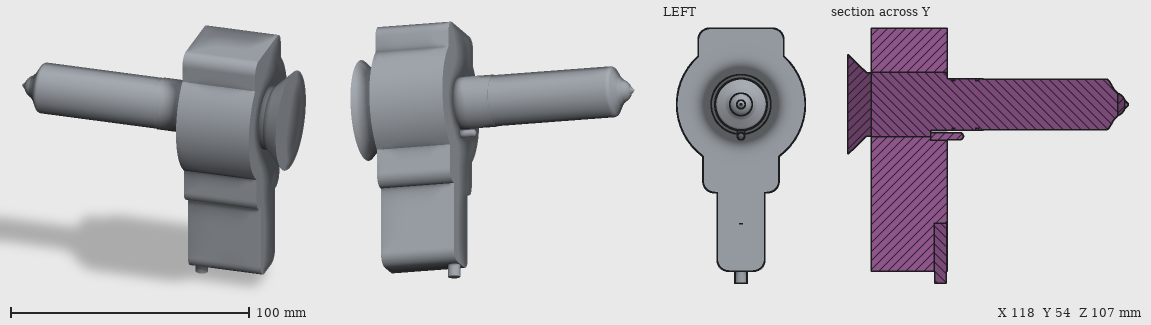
import cadquery as cq
import math


housing_depth = 32.0
drum_radius = 27.0
head_width = 36.0
head_top = 32.0
shoulder_width = 32.0
shoulder_bottom = 37.0
stem_width = 20.1
stem_bottom = 70.0
corner_radius = 5.0

barrel_radius = 10.7
land_radius = 11.0
land_length = 15.0
shank_radius = 13.5
shank_chamfer = 1.0
nose_radius = 6.3
nose_start = 70.0
nose_cone_angle = 60.0
barrel_round = 2.0

seal_width = 1.0
seal_depth = 1.0
seal_inset = 2.0

nozzle_radius = 4.7
nozzle_seat = nose_start + nose_radius - nozzle_radius
needle_start = 74.5
needle_radius = 1.8
needle_tip = 76.0
needle_tip_radius = 0.2

dowel_radius = 1.5
dowel_drop = 13.3
dowel_reach = 6.8
dowel_point_length = 0.7
dowel_point_radius = 1.4
dowel_taper_length = 0.7

connector_radius = 2.6
connector_setback = 3.0
connector_length = 25.0
connector_end = 75.0

collar_length = 2.0
cone_end = 42.0
cone_end_radius = 21.2


def revolve_about_x(profile):
    """Turn a closed (X, radius) profile drawn on XZ about the X axis."""
    return profile.close().revolve(360, (0, 0, 0), (1, 0, 0))


def cylinder_along_x(radius, start, end, drop=0.0):
    """Cylinder parallel to X, lowered by drop below the injector axis."""
    return cq.Workplane("YZ", origin=(start, 0, -drop)).circle(radius).extrude(end - start)


def slab(width, bottom, top):
    """Slab through the housing depth, centred on Y."""
    return cq.Workplane("XY").box(
        housing_depth, width, top - bottom, centered=(False, True, False)
    ).translate((0, 0, bottom))


def make_housing_block():
    head = slab(head_width, 0, head_top).edges("|X and >Z").fillet(corner_radius)
    shoulder = slab(shoulder_width, -shoulder_bottom, 0).edges("|X and <Z").fillet(corner_radius)
    stem = slab(stem_width, -stem_bottom, 0).edges("|X and <Z").fillet(corner_radius)
    drum = cylinder_along_x(drum_radius, 0, housing_depth)
    return drum.union(head).union(shoulder).union(stem)


def make_shank():
    return (
        cylinder_along_x(shank_radius, 0, housing_depth)
        .faces("<X").edges().chamfer(shank_chamfer)
    )


def make_barrel():
    """Stepped barrel: 45 degree nose bevel, steeper cone, then a round into the outer wall."""
    cone_angle = math.radians(nose_cone_angle)
    round_start_radius = barrel_radius - barrel_round * (1 - math.cos(cone_angle))
    round_start = nose_start - (round_start_radius - nose_radius) / math.tan(cone_angle)
    round_end = round_start - barrel_round * math.sin(cone_angle)
    half_angle = cone_angle / 2
    round_middle = (
        -round_end - barrel_round * math.sin(half_angle),
        barrel_radius - barrel_round * (1 - math.cos(half_angle)),
    )
    return revolve_about_x(
        cq.Workplane("XZ")
        .moveTo(0, 0)
        .lineTo(-nozzle_seat, 0)
        .lineTo(-nozzle_seat, nozzle_radius)
        .lineTo(-nose_start, nose_radius)
        .lineTo(-round_start, round_start_radius)
        .threePointArc(round_middle, (-round_end, barrel_radius))
        .lineTo(-land_length, barrel_radius)
        .lineTo(-land_length, land_radius)
        .lineTo(0, land_radius)
    )


def make_seal(start):
    outer = cylinder_along_x(land_radius, start, start + seal_width)
    inner = cylinder_along_x(land_radius - seal_depth, start, start + seal_width)
    return outer.cut(inner)


def make_nozzle():
    """Spherical dome centred on the axis, cut flat where the needle leaves it."""
    length = needle_start - nozzle_seat
    centre = nozzle_seat - (nozzle_radius**2 - needle_radius**2 - length**2) / (2 * length)
    sphere_radius = math.hypot(nozzle_seat - centre, nozzle_radius)
    middle = nozzle_seat + length / 2
    middle_radius = math.sqrt(sphere_radius**2 - (middle - centre) ** 2)
    return revolve_about_x(
        cq.Workplane("XZ")
        .moveTo(-nozzle_seat, 0)
        .lineTo(-nozzle_seat, nozzle_radius)
        .threePointArc((-middle, middle_radius), (-needle_start, needle_radius))
        .lineTo(-needle_start, 0)
    )


def make_needle():
    return revolve_about_x(
        cq.Workplane("XZ")
        .moveTo(-needle_start, 0)
        .lineTo(-needle_start, needle_radius)
        .lineTo(-needle_tip, needle_tip_radius)
        .lineTo(-needle_tip, 0)
    )


def make_dowel():
    """Round dowel with a tapered lead and a conical point, shared between shank and housing."""
    point_base = dowel_reach - dowel_point_length
    body_end = point_base - dowel_taper_length
    return revolve_about_x(
        cq.Workplane("XZ")
        .moveTo(dowel_reach, 0)
        .lineTo(dowel_reach, dowel_radius)
        .lineTo(-body_end, dowel_radius)
        .lineTo(-point_base, dowel_point_radius)
        .lineTo(-dowel_reach, 0)
    ).translate((0, 0, -dowel_drop))


def make_keyway():
    """Slot in the shank from the land out to the dowel, as wide as the dowel."""
    slot = cq.Workplane("XY").box(
        dowel_reach, 2 * dowel_radius, dowel_drop - land_radius, centered=(False, True, False)
    ).translate((0, 0, -dowel_drop))
    return slot.union(cylinder_along_x(dowel_radius, 0, dowel_reach, dowel_drop))


def make_connector():
    return (
        cq.Workplane("XY", origin=(connector_setback, 0, -connector_end))
        .circle(connector_radius)
        .extrude(connector_length)
    )


def make_rear_cone():
    collar_end = housing_depth + collar_length
    return revolve_about_x(
        cq.Workplane("XZ")
        .moveTo(housing_depth, 0)
        .lineTo(housing_depth, shank_radius)
        .lineTo(collar_end, shank_radius)
        .lineTo(cone_end, cone_end_radius)
        .lineTo(cone_end, 0)
    )


dowel = make_dowel()
connector = make_connector()
nozzle = make_nozzle()
needle = make_needle()
rear_cone = make_rear_cone()

seal_starts = [seal_inset - land_length, -seal_inset - seal_width]
seals = [make_seal(start) for start in seal_starts]

injector_body = make_barrel().union(make_shank().cut(make_keyway()))
for seal in seals:
    injector_body = injector_body.cut(seal)

housing = make_housing_block().cut(make_shank()).cut(dowel).cut(connector)

result = cq.Compound.makeCompound([
    housing.solids().val(),
    injector_body.solids().val(),
    nozzle.val(),
    needle.val(),
    *[seal.solids().val() for seal in seals],
    dowel.val(),
    connector.val(),
    rear_cone.val(),
])